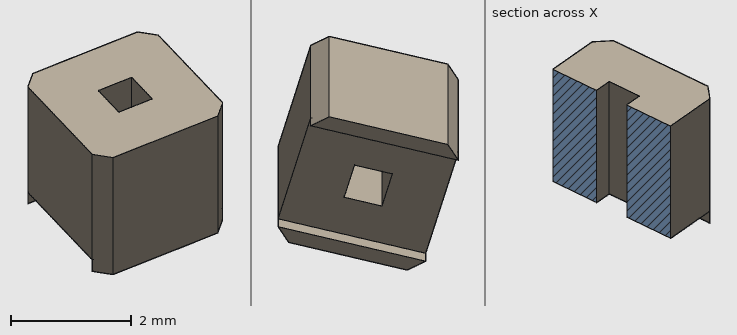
import cadquery as cq

side = 2.54
corner_chamfer = 0.25
foot_height = 0.25
hole_side = 0.65

channel_width = side - 2 * corner_chamfer


def make_body():
    """Cube centred on Z, resting on Z = 0, with chamfered vertical edges."""
    cube = cq.Workplane("XY").box(side, side, side, centered=(True, True, False))
    return cube.edges("|Z").chamfer(corner_chamfer)


def make_channel():
    """Channel along Y that separates the two feet."""
    return cq.Workplane("XY").box(channel_width, side, foot_height, centered=(True, True, False))


def make_hole():
    """Square hole through the full height."""
    return cq.Workplane("XY").rect(hole_side, hole_side).extrude(side)


result = make_body().cut(make_channel()).cut(make_hole())